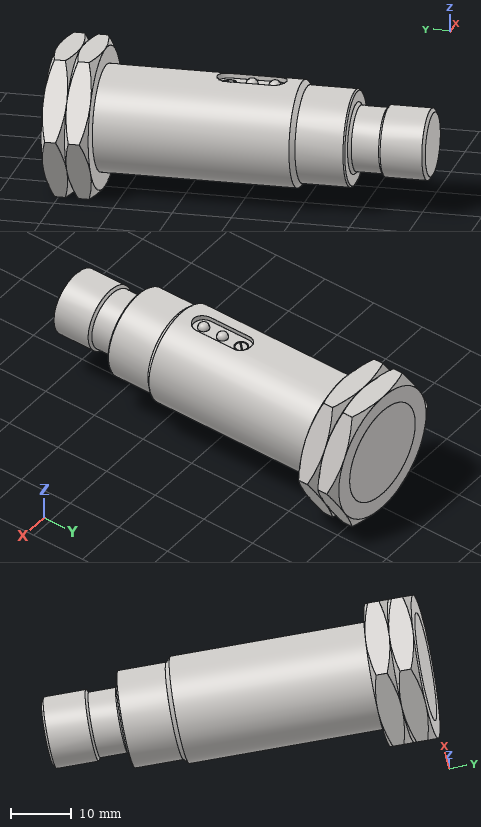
import cadquery as cq
import math

LENGTH = 63.5

NUT_COUNT = 2
NUT_SIDES = 6
NUT_FLATS = 24.0
NUT_THICKNESS = 4.0
NUT_CHAMFER_ANGLE = 30.0

SLEEVE_RADIUS = 9.0
BARREL_RADIUS = 8.2
NECK_RADIUS = 5.5
PLUG_RADIUS = 6.05

SLEEVE_END = 41.3
BARREL_END = 50.5
PLUG_START = 55.6

BARREL_CHAMFER = 0.25
NECK_ROOT_CHAMFER = 0.5
PLUG_REAR_CONE_LENGTH = 0.4
PLUG_TIP_CHAMFER_RADIAL = 0.65
PLUG_TIP_CHAMFER_LENGTH = 0.45

WINDOW_WIDTH = 4.0
WINDOW_CENTER = 32.9
WINDOW_DEPTH = 1.0
WINDOW_FLOOR = SLEEVE_RADIUS - WINDOW_DEPTH
ITEM_PITCH = 3.9
LAMP_RADIUS = 1.0

SCREW_RADIUS = 1.1
SCREW_GAP = 0.1
SCREW_GAP_DEPTH = 0.2
SCREW_SLOT_WIDTH = 0.2
SCREW_SLOT_DEPTH = 0.2
SCREW_SLOT_ANGLE = 45.0


def make_turned_body():
    """Housing without its window, revolved from half of its profile."""
    sleeve_chamfer = SLEEVE_RADIUS - BARREL_RADIUS
    profile = [
        (0, 0),
        (SLEEVE_RADIUS, 0),
        (SLEEVE_RADIUS, -SLEEVE_END),
        (BARREL_RADIUS, -SLEEVE_END - sleeve_chamfer),
        (BARREL_RADIUS, -BARREL_END + BARREL_CHAMFER),
        (BARREL_RADIUS - BARREL_CHAMFER, -BARREL_END),
        (NECK_RADIUS + NECK_ROOT_CHAMFER, -BARREL_END),
        (NECK_RADIUS, -BARREL_END - NECK_ROOT_CHAMFER),
        (NECK_RADIUS, -PLUG_START),
        (PLUG_RADIUS, -PLUG_START - PLUG_REAR_CONE_LENGTH),
        (PLUG_RADIUS, -LENGTH + PLUG_TIP_CHAMFER_LENGTH),
        (PLUG_RADIUS - PLUG_TIP_CHAMFER_RADIAL, -LENGTH),
        (0, -LENGTH),
    ]
    return cq.Workplane("XY").polyline(profile).close().revolve(360, (0, 0, 0), (0, 1, 0))


def window_plane(distance):
    """Workplane on the window floor, centred at a distance from the rear face."""
    return cq.Workplane("XY", origin=(0, -distance, WINDOW_FLOOR))


def make_window_cutter():
    """Round-ended pocket along the sleeve, concentric with the outer two items."""
    length = 2 * ITEM_PITCH + WINDOW_WIDTH
    return window_plane(WINDOW_CENTER).slot2D(length, WINDOW_WIDTH, 90).extrude(2 * WINDOW_DEPTH)


def make_lamp(distance):
    """Indicator lamp: a ball sunk to its middle in the window floor."""
    return window_plane(distance).sphere(LAMP_RADIUS)


def make_screw_cutter(distance):
    """Ring gap around the adjusting screw and the driver slot across its head."""
    gap = (
        window_plane(distance)
        .circle(SCREW_RADIUS + SCREW_GAP)
        .circle(SCREW_RADIUS)
        .extrude(-SCREW_GAP_DEPTH)
    )
    slot = (
        window_plane(distance)
        .transformed(rotate=(0, 0, SCREW_SLOT_ANGLE))
        .rect(2 * SCREW_RADIUS + SCREW_GAP, SCREW_SLOT_WIDTH)
        .extrude(-SCREW_SLOT_DEPTH)
    )
    return gap.union(slot)


def make_housing():
    housing = make_turned_body().cut(make_window_cutter())
    housing = housing.cut(make_screw_cutter(WINDOW_CENTER - ITEM_PITCH))
    for distance in (WINDOW_CENTER, WINDOW_CENTER + ITEM_PITCH):
        housing = housing.union(make_lamp(distance))
    return housing


def make_nut(rear_distance):
    """Hexagon nut with both faces chamfered, its bore fitting the sleeve."""
    corner_radius = NUT_FLATS / 2 / math.cos(math.pi / NUT_SIDES)
    face_radius = NUT_FLATS / 2
    chamfer_length = (corner_radius - face_radius) * math.tan(math.radians(NUT_CHAMFER_ANGLE))
    front_distance = rear_distance + NUT_THICKNESS

    hexagon = (
        cq.Workplane("XZ", origin=(0, -rear_distance, 0))
        .polygon(NUT_SIDES, 2 * corner_radius)
        .circle(SLEEVE_RADIUS)
        .extrude(NUT_THICKNESS)
    )
    chamfer_envelope = (
        cq.Workplane("XY")
        .polyline([
            (0, -rear_distance),
            (face_radius, -rear_distance),
            (corner_radius, -rear_distance - chamfer_length),
            (corner_radius, -front_distance + chamfer_length),
            (face_radius, -front_distance),
            (0, -front_distance),
        ])
        .close()
        .revolve(360, (0, 0, 0), (0, 1, 0))
    )
    return hexagon.intersect(chamfer_envelope)


housing = make_housing()
nuts = [make_nut(index * NUT_THICKNESS) for index in range(NUT_COUNT)]

result = cq.Compound.makeCompound([housing.val(), *[nut.val() for nut in nuts]])